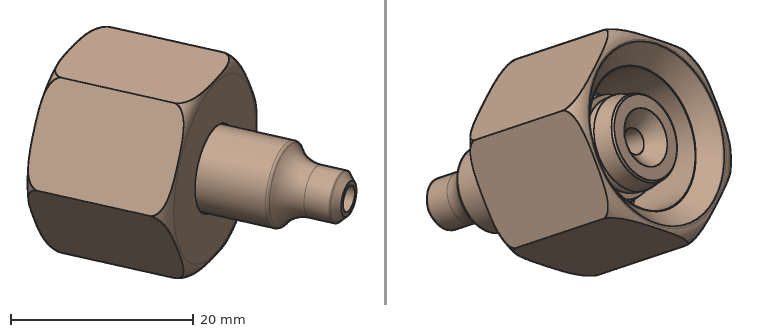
import cadquery as cq
import math


nut_length = 17.5
across_flats = 22.0
across_corners = across_flats / math.cos(math.pi / 6)
corner_round = 2.0
thread_bore_radius = 16.38 / 2
bore_mouth_radius = 10.38
mouth_land_radius = 10.47
mouth_edge_depth = 0.1
thread_edge_length = 0.02
bore_edge_radius = 8.27
bore_mouth_depth = mouth_edge_depth + bore_mouth_radius - bore_edge_radius
bore_edge_depth = bore_mouth_depth + thread_edge_length
stem_hole_radius = 10.22 / 2

cone_half_angle = math.radians(12)
nose_start = 1.72
nose_face_radius = 4.87
cone_start = 1.97
cone_start_radius = 5.06
cone_end_radius = 14.0 / 2
groove_front_radius = 5.54
groove_back_radius = 5.95
groove_floor_radius = 4.0
stem_radius = 9.94 / 2
stem_end = 25.93
stem_round = 0.45
spigot_radius = 6.0 / 2
spigot_end = 32.72
neck_round = 4.1
tip_end = 33.76
tip_round = 0.17
tip_chamfer_angle = math.radians(45)
through_bore_radius = 3.04 / 2
countersink_radius = 3.33
countersink_depth = countersink_radius - through_bore_radius


def cone_x(radius):
    """X at which the sealing cone reaches the given radius."""
    return cone_start + (radius - cone_start_radius) / math.tan(cone_half_angle)


neck_drop = stem_radius - spigot_radius
round_span = stem_round + neck_round
neck_run = math.sqrt(round_span**2 - (round_span - neck_drop) ** 2)
spigot_start = stem_end + neck_run
neck_start = stem_end + neck_run * stem_round / round_span
neck_start_radius = stem_radius - neck_drop * stem_round / round_span

tip_start = spigot_end + tip_round * math.sin(tip_chamfer_angle)
tip_start_radius = spigot_radius - tip_round * (1 - math.cos(tip_chamfer_angle))
tip_end_radius = tip_start_radius - (tip_end - tip_start) * math.tan(tip_chamfer_angle)

groove_front = cone_x(groove_front_radius)
groove_back = cone_x(groove_back_radius)
cone_end = cone_x(cone_end_radius)

bore_depth = cone_end

ring_section_radius = 0.73
ring_centre_x = (groove_front + groove_back) / 2
ring_centre_radius = groove_floor_radius + ring_section_radius


def revolve_about_x(profile):
    return profile.close().revolve(360, (0, 0, 0), (1, 0, 0))


def make_nut():
    prism = cq.Workplane("YZ").polygon(6, across_corners).extrude(nut_length)
    envelope = (
        cq.Workplane("YZ").circle(across_corners / 2).extrude(nut_length).edges().fillet(corner_round)
    )
    cavity = revolve_about_x(
        cq.Workplane("XY")
        .lineTo(0, mouth_land_radius)
        .lineTo(mouth_edge_depth, bore_mouth_radius)
        .lineTo(bore_mouth_depth, bore_edge_radius)
        .lineTo(bore_edge_depth, thread_bore_radius)
        .lineTo(bore_depth, thread_bore_radius)
        .lineTo(bore_depth, stem_hole_radius)
        .lineTo(nut_length, stem_hole_radius)
        .lineTo(nut_length, 0)
    )
    return prism.intersect(envelope).cut(cavity)


def make_nipple():
    return revolve_about_x(
        cq.Workplane("XY")
        .moveTo(nose_start, countersink_radius)
        .lineTo(nose_start, nose_face_radius)
        .lineTo(cone_start, cone_start_radius)
        .lineTo(groove_front, groove_front_radius)
        .lineTo(groove_front, groove_floor_radius)
        .lineTo(groove_back, groove_floor_radius)
        .lineTo(groove_back, groove_back_radius)
        .lineTo(cone_end, cone_end_radius)
        .lineTo(cone_end, stem_radius)
        .lineTo(stem_end, stem_radius)
        .radiusArc((neck_start, neck_start_radius), stem_round)
        .radiusArc((spigot_start, spigot_radius), -neck_round)
        .lineTo(spigot_end, spigot_radius)
        .radiusArc((tip_start, tip_start_radius), tip_round)
        .lineTo(tip_end, tip_end_radius)
        .lineTo(tip_end, through_bore_radius)
        .lineTo(nose_start + countersink_depth, through_bore_radius)
    )


def make_o_ring():
    return (
        cq.Workplane("XY")
        .center(ring_centre_x, ring_centre_radius)
        .circle(ring_section_radius)
        .revolve(360, (0, -ring_centre_radius, 0), (1, -ring_centre_radius, 0))
    )


nut = make_nut()
nipple = make_nipple()
o_ring = make_o_ring()
result = cq.Compound.makeCompound([nut.val(), nipple.val(), o_ring.val()])